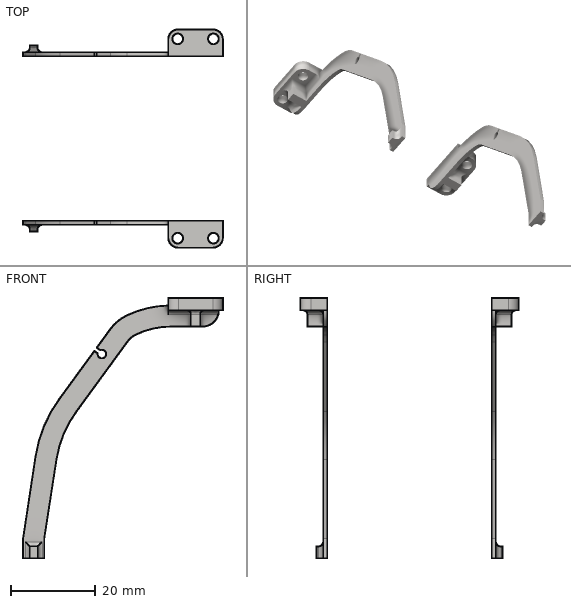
import cadquery as cq
import math

length_x = 47.6
width_y = 52.0
height_z = 62.0

block_length = 13.1
block_depth = 6.45
block_height = 3.0
block_corner_radius = 2.5
hole_diameter = 2.5
hole_edge_distance = 2.3
block_left = length_x - block_length
block_bottom = height_z - block_height
inner_y = width_y / 2 - block_depth

strip_thickness = 1.0
strip_width = 5.1
foot_height = 4.7
lower_angle = math.radians(81.2)
upper_angle = math.radians(53.3)
neck_angle = math.radians(25.5)
lower_bend = (3.0, 24.3)
lower_bend_radius = 31.0
shoulder = (20.85, 54.6)
shoulder_radius = 10.55
strip_bottom = 55.1
end_overhang = 1.0
strip_end = length_x - end_overhang
end_radius = block_bottom - strip_bottom

notch_center = (18.8, 48.6)
notch_diameter = 2.0
notch_neck_width = 0.9
notch_neck_length = 3.7

rib_width = 2.2
rib_setback = 1.7
rib_center = block_left + block_length / 2
cove_radius = 1.0

pad_width = 1.85
pad_height = 2.85
pad_projection = 1.6
pad_cove_radius = 1.1
pad_center = strip_width / 2

selection_margin = 0.005


def turned(point, radius, start_angle, end_angle):
    """Point reached from `point` on a clockwise arc between two travel directions."""
    return (
        point[0] + radius * (math.sin(start_angle) - math.sin(end_angle)),
        point[1] + radius * (math.cos(end_angle) - math.cos(start_angle)),
    )


def inward(point, angle):
    """Matching point on the inner edge of the strip."""
    return (point[0] + strip_width * math.sin(angle), point[1] - strip_width * math.cos(angle))


def arm_plane(offset=0.0):
    """XZ plane parallel to the inner face of the arm, with its normal toward -Y."""
    return cq.Workplane("XZ", origin=(0, -inner_y - offset, 0))


def make_strip():
    lower_mid = turned(lower_bend, lower_bend_radius, lower_angle, (lower_angle + upper_angle) / 2)
    lower_end = turned(lower_bend, lower_bend_radius, lower_angle, upper_angle)
    shoulder_mid = turned(shoulder, shoulder_radius, upper_angle, (upper_angle + neck_angle) / 2)
    shoulder_end = turned(shoulder, shoulder_radius, upper_angle, neck_angle)

    sweep_radius = (strip_bottom + strip_width - shoulder_end[1]) / (1 - math.cos(neck_angle))
    sweep_mid = turned(shoulder_end, sweep_radius, neck_angle, neck_angle / 2)
    sweep_end = turned(shoulder_end, sweep_radius, neck_angle, 0)
    end_center_x = strip_end - end_radius
    end_mid = (
        end_center_x + end_radius * math.sin(math.pi / 4),
        block_bottom - end_radius * math.cos(math.pi / 4),
    )
    return (
        arm_plane()
        .moveTo(0, 0)
        .lineTo(0, foot_height)
        .lineTo(*lower_bend)
        .threePointArc(lower_mid, lower_end)
        .lineTo(*shoulder)
        .threePointArc(shoulder_mid, shoulder_end)
        .threePointArc(sweep_mid, sweep_end)
        .lineTo(strip_end, sweep_end[1])
        .lineTo(strip_end, block_bottom)
        .threePointArc(end_mid, (end_center_x, strip_bottom))
        .lineTo(sweep_end[0], strip_bottom)
        .threePointArc(inward(sweep_mid, neck_angle / 2), inward(shoulder_end, neck_angle))
        .threePointArc(inward(shoulder_mid, (upper_angle + neck_angle) / 2), inward(shoulder, upper_angle))
        .lineTo(*inward(lower_end, upper_angle))
        .threePointArc(
            inward(lower_mid, (lower_angle + upper_angle) / 2), inward(lower_bend, lower_angle)
        )
        .lineTo(strip_width, foot_height)
        .lineTo(strip_width, 0)
        .close()
        .extrude(strip_thickness)
    )


def make_notch():
    eye = arm_plane().center(*notch_center).circle(notch_diameter / 2).extrude(strip_thickness)
    neck = (
        arm_plane()
        .center(*notch_center)
        .transformed(rotate=(0, 0, 90 + math.degrees(upper_angle)))
        .center(notch_neck_length / 2, 0)
        .rect(notch_neck_length, notch_neck_width)
        .extrude(strip_thickness)
    )
    return eye.union(neck)


def make_block():
    block = cq.Workplane("XY").box(block_length, block_depth, block_height, centered=False)
    block = block.translate((block_left, -width_y / 2, block_bottom))
    return block.edges("|Z and <Y").fillet(block_corner_radius)


def make_holes():
    hole_y = hole_edge_distance - width_y / 2
    hole_xs = (block_left + hole_edge_distance, length_x - hole_edge_distance)
    return (
        cq.Workplane("XY", origin=(0, 0, block_bottom))
        .pushPoints([(x, hole_y) for x in hole_xs])
        .circle(hole_diameter / 2)
        .extrude(block_height)
    )


def make_rib():
    return (
        arm_plane()
        .center(rib_center, (strip_bottom + block_bottom) / 2)
        .rect(rib_width, block_bottom - strip_bottom)
        .extrude(block_depth - rib_setback)
    )


def make_strip_cove():
    """Concave fillet between the strip and the underside of the block."""
    wall_y = -inner_y - strip_thickness
    mid_offset = cove_radius * (1 - math.sin(math.pi / 4))
    return (
        cq.Workplane("YZ", origin=(block_left, 0, 0))
        .moveTo(wall_y, block_bottom)
        .lineTo(wall_y - cove_radius, block_bottom)
        .threePointArc(
            (wall_y - mid_offset, block_bottom - mid_offset), (wall_y, block_bottom - cove_radius)
        )
        .close()
        .extrude(strip_end - block_left)
    )


def make_pad():
    return (
        arm_plane(strip_thickness)
        .center(pad_center, pad_height / 2)
        .rect(pad_width, pad_height)
        .extrude(pad_projection)
    )


def box_around(low, high):
    """Selector for edges centered in a box, grown slightly to include its boundary."""
    return cq.selectors.BoxSelector(
        tuple(value - selection_margin for value in low),
        tuple(value + selection_margin for value in high),
    )


def make_footed_strip():
    """Strip with the pad on its foot, blended by a cove along the pad's sides and top."""
    strip = make_strip().cut(make_notch()).union(make_pad())
    face_y = -inner_y - strip_thickness
    pad_root = box_around(
        (pad_center - pad_width / 2, face_y, 0),
        (pad_center + pad_width / 2, face_y, pad_height),
    )
    return strip.edges(pad_root).fillet(pad_cove_radius)


def make_ribbed_block():
    """Block with the rib below it, blended by a cove along the rib's sides and outer face."""
    block = make_block().union(make_rib())
    rib_root = box_around(
        (rib_center - rib_width / 2, rib_setback - width_y / 2, block_bottom),
        (rib_center + rib_width / 2, -inner_y, block_bottom),
    )
    return block.edges(rib_root).fillet(cove_radius)


def make_arm():
    arm = make_footed_strip().union(make_ribbed_block()).union(make_strip_cove())
    return arm.cut(make_holes())


front_arm = make_arm()
rear_arm = front_arm.mirror("XZ")

result = cq.Compound.makeCompound([front_arm.val(), rear_arm.val()])